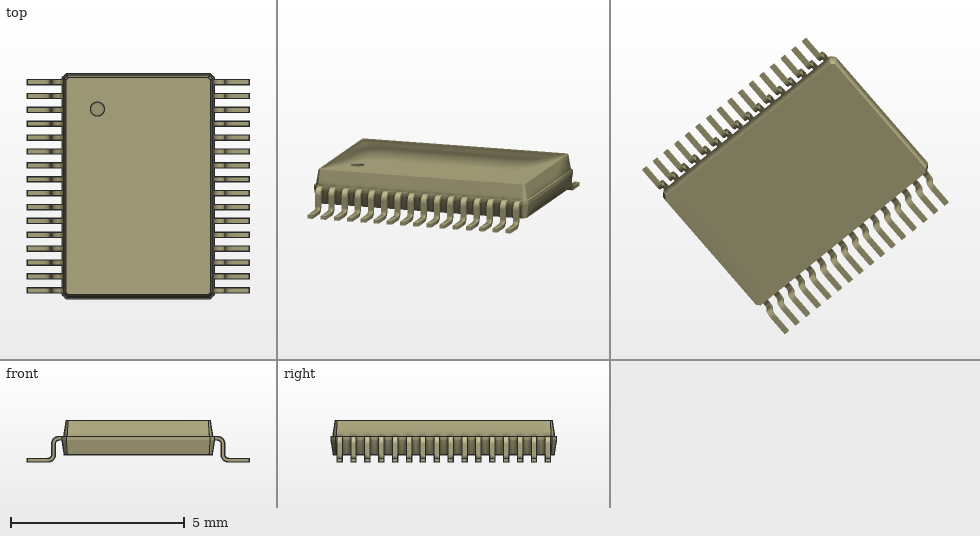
import cadquery as cq
import math

body_length = 6.5
overall_width = 6.4
overall_height = 1.2

body_width = 4.4
body_bottom = 0.21
band_top = 0.74
corner_chamfer = 0.13
upper_ledge = 0.05
draft_angle = 9.0

mark_diameter = 0.4
mark_depth = 0.05
mark_x = -1.175
mark_y = 2.22

leads_per_side = 16
lead_row_span = 6.0
lead_width = 0.155
lead_thickness = 0.11
lead_shank_x = 2.495
bend_inner_radius = 0.105
lead_embed = 0.13

lead_pitch = lead_row_span / (leads_per_side - 1)
bend_outer_radius = bend_inner_radius + lead_thickness
band_bottom = band_top - lead_thickness


def body_outline(level, inset=0.0):
    """Chamfered rectangle at a height, moved inward evenly on all eight sides."""
    half_width = body_width / 2 - inset
    half_length = body_length / 2 - inset
    leg = corner_chamfer - inset * (2 - math.sqrt(2))
    points = [
        (half_width - leg, half_length),
        (half_width, half_length - leg),
        (half_width, leg - half_length),
        (half_width - leg, -half_length),
        (leg - half_width, -half_length),
        (-half_width, leg - half_length),
        (-half_width, half_length - leg),
        (leg - half_width, half_length),
    ]
    return cq.Workplane("XY").workplane(offset=level).polyline(points).close()


def drafted_half(start_level, end_level, start_inset):
    """Body half that narrows from one level to another at the draft angle."""
    draft_inset = abs(end_level - start_level) * math.tan(math.radians(draft_angle))
    start_wire = body_outline(start_level, start_inset).wire().val()
    end_wire = body_outline(end_level, start_inset + draft_inset).wire().val()
    return cq.Workplane(cq.Solid.makeLoft([start_wire, end_wire], True))


def make_body():
    band = body_outline(band_bottom).extrude(lead_thickness)
    upper_half = drafted_half(band_top, overall_height, upper_ledge)
    lower_half = drafted_half(band_bottom, body_bottom, 0.0)
    mark = (
        cq.Workplane("XY")
        .workplane(offset=overall_height - mark_depth)
        .center(mark_x, mark_y)
        .circle(mark_diameter / 2)
        .extrude(mark_depth)
    )
    return band.union(upper_half).union(lower_half).cut(mark)


def make_lead():
    """Lead on the +X side, centred on Y = 0: root, upper bend, shank, lower bend, foot."""
    root_x = body_width / 2 - lead_embed
    tip_x = overall_width / 2
    shank_inner_x = lead_shank_x - lead_thickness
    upper_bend_x = lead_shank_x - bend_outer_radius
    upper_bend_z = band_top - bend_outer_radius
    lower_bend_x = lead_shank_x + bend_inner_radius
    lower_bend_z = bend_outer_radius
    diagonal = math.sqrt(0.5)
    outer_reach = bend_outer_radius * diagonal
    inner_reach = bend_inner_radius * diagonal
    profile = (
        cq.Workplane("XZ")
        .moveTo(root_x, band_top)
        .lineTo(upper_bend_x, band_top)
        .threePointArc(
            (upper_bend_x + outer_reach, upper_bend_z + outer_reach),
            (lead_shank_x, upper_bend_z),
        )
        .lineTo(lead_shank_x, lower_bend_z)
        .threePointArc(
            (lower_bend_x - inner_reach, lower_bend_z - inner_reach),
            (lower_bend_x, lead_thickness),
        )
        .lineTo(tip_x, lead_thickness)
        .lineTo(tip_x, 0)
        .lineTo(lower_bend_x, 0)
        .threePointArc(
            (lower_bend_x - outer_reach, lower_bend_z - outer_reach),
            (shank_inner_x, lower_bend_z),
        )
        .lineTo(shank_inner_x, upper_bend_z)
        .threePointArc(
            (upper_bend_x + inner_reach, upper_bend_z + inner_reach),
            (upper_bend_x, band_bottom),
        )
        .lineTo(root_x, band_bottom)
        .close()
    )
    return profile.extrude(lead_width / 2, both=True)


right_lead = make_lead()
left_lead = right_lead.mirror("YZ")

result = make_body()
for index in range(leads_per_side):
    lead_y = index * lead_pitch - lead_row_span / 2
    for lead in (left_lead, right_lead):
        result = result.union(lead.translate((0, lead_y, 0)))